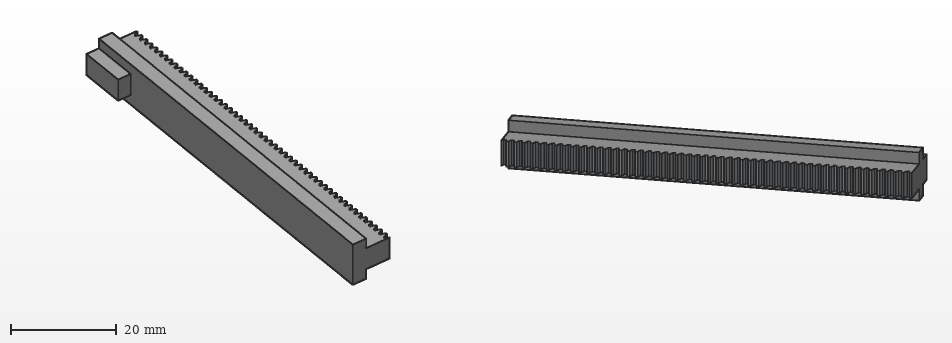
import cadquery as cq
import math

LENGTH = 80.0
DEPTH = 11.8
HEIGHT = 9.6

BAR_HEIGHT = 5.0
FLANGE_THICKNESS = 3.1

LUG_LENGTH = 10.0
LUG_DEPTH = 3.0

GAP_COUNT = 51
FIRST_TO_LAST_GAP = 78.6
PRESSURE_ANGLE = math.radians(20)
PITCH = FIRST_TO_LAST_GAP / (GAP_COUNT - 1)
MODULE = PITCH / math.pi
TOOTH_DEPTH = 2 * MODULE
FLANK_RUN = MODULE * math.tan(PRESSURE_ANGLE)
GAP_ROOT_HALF_WIDTH = PITCH / 4 - FLANK_RUN
GAP_TIP_HALF_WIDTH = PITCH / 4 + FLANK_RUN

FIRST_TIP_LENGTH = 0.36
FIRST_GAP_X = FIRST_TIP_LENGTH + GAP_TIP_HALF_WIDTH

FLANGE_FRONT = LUG_DEPTH
FLANGE_BACK = FLANGE_FRONT + FLANGE_THICKNESS
TOOTH_TIP = DEPTH
TOOTH_ROOT = TOOTH_TIP - TOOTH_DEPTH


def block(length, front, back, height):
    """Box starting at the left end, spanning front to back, centred on Z = 0."""
    box = cq.Workplane("XY").box(length, back - front, height, centered=(False, False, True))
    return box.translate((0, front, 0))


def tooth_gaps():
    """Trapezoidal gaps between the teeth, running through the full bar height."""
    gaps = cq.Workplane("XY").workplane(offset=-BAR_HEIGHT / 2)
    for i in range(GAP_COUNT):
        x = FIRST_GAP_X + i * PITCH
        gaps = gaps.polyline([
            (x - GAP_TIP_HALF_WIDTH, TOOTH_TIP),
            (x - GAP_ROOT_HALF_WIDTH, TOOTH_ROOT),
            (x + GAP_ROOT_HALF_WIDTH, TOOTH_ROOT),
            (x + GAP_TIP_HALF_WIDTH, TOOTH_TIP),
        ]).close()
    return gaps.extrude(BAR_HEIGHT)


flange = block(LENGTH, FLANGE_FRONT, FLANGE_BACK, HEIGHT)
bar = block(LENGTH, FLANGE_FRONT, TOOTH_TIP, BAR_HEIGHT)
lug = block(LUG_LENGTH, 0, FLANGE_FRONT, BAR_HEIGHT)

result = bar.cut(tooth_gaps()).union(flange).union(lug)